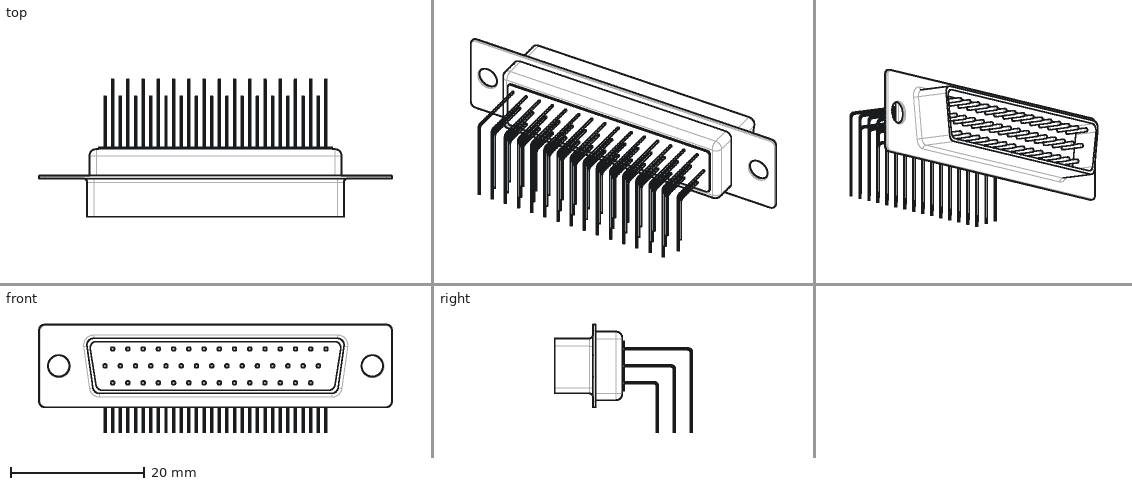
import cadquery as cq
import math


overall_depth = 20.7
overall_height = 16.25

flange_length = 53.1
flange_height = 12.5
flange_thickness = 0.5
flange_corner_radius = 0.9
flange_edge_radius = 0.135
mount_hole_diameter = 3.2
mount_hole_offset = 23.6

shell_side_angle = 8.0
shell_corner_radius = 1.0
shell_depth = 5.75
shell_top_width = 39.0
shell_height = 8.3
shell_foot_radius = 0.55
selection_margin = 0.005

cavity_side_angle = 9.0
cavity_top_width = 38.0
cavity_height = 7.35
cavity_corner_radius = 0.95
cavity_floor_y = -1.95

housing_back_y = 4.45
housing_width = 37.9
housing_height = 10.35
housing_edge_radius = 1.0
housing_corner_radius = 1.05

plate_thickness = 0.25
plate_width = 35.15
plate_height = 7.45
plate_corner_radius = 0.55

middle_row_span = 32.05
contact_diameter = 0.6
contact_tip_y = -5.7
contact_tip_radius = 0.2
tail_diameter = 0.3
tail_bend_radius = 0.55
tail_bottom_z = flange_height / 2 - overall_height
contacts_per_row = 15
contact_pitch = middle_row_span / (contacts_per_row - 1)
row_pitch = 2.55
last_tail_y = overall_depth - shell_depth - tail_diameter / 2

middle_row_start = -7.25
outer_row_start = middle_row_start + 0.5
contact_rows = [
    (1, outer_row_start, contacts_per_row),
    (0, middle_row_start, contacts_per_row),
    (-1, outer_row_start, contacts_per_row - 1),
]


def d_prism(top_width, height, radius, start_y, end_y, angle):
    """Prism along Y with a rounded trapezoid section, wider at the top."""
    half_top = top_width / 2
    half_bottom = half_top - height * math.tan(math.radians(angle))
    section = [
        (-half_top, height / 2),
        (half_top, height / 2),
        (half_bottom, -height / 2),
        (-half_bottom, -height / 2),
    ]
    return (
        cq.Workplane("XZ", origin=(0, start_y, 0))
        .polyline(section)
        .close()
        .extrude(start_y - end_y)
        .edges("|Y")
        .fillet(radius)
    )


def flange():
    """Thin plate with rounded corners and two mounting holes."""
    return (
        cq.Workplane("XZ")
        .rect(flange_length, flange_height)
        .extrude(-flange_thickness)
        .edges("|Y")
        .fillet(flange_corner_radius)
        .faces("<Y")
        .workplane(origin=(0, 0, 0))
        .pushPoints([(-mount_hole_offset, 0), (mount_hole_offset, 0)])
        .hole(mount_hole_diameter)
        .faces("<Y or >Y")
        .edges()
        .fillet(flange_edge_radius)
    )


def flanged_shell():
    """Shell standing on the flange, blended into it by a concave fillet."""
    shell = d_prism(
        shell_top_width, shell_height, shell_corner_radius, 0, -shell_depth, shell_side_angle
    )
    half_width = shell_top_width / 2
    half_height = shell_height / 2 + selection_margin
    joint = cq.selectors.BoxSelector(
        (-half_width, -selection_margin, -half_height),
        (half_width, selection_margin, half_height),
    )
    return flange().union(shell).edges(joint).fillet(shell_foot_radius)


def shell_cavity():
    """Open space inside the shell, with sides sloping slightly more than the outside."""
    return d_prism(
        cavity_top_width,
        cavity_height,
        cavity_corner_radius,
        -shell_depth,
        cavity_floor_y,
        cavity_side_angle,
    )


def rounded_block(width, height, radius, end_y):
    """Rectangular block with rounded corners, from Y = 0 back to end_y."""
    return cq.Workplane("XZ").rect(width, height).extrude(-end_y).edges("|Y").fillet(radius)


def housing():
    """Rear body with a rounded back edge and a flat plate on its back."""
    block = rounded_block(housing_width, housing_height, housing_corner_radius, housing_back_y)
    block = block.faces(">Y").edges().fillet(housing_edge_radius)
    plate_back_y = housing_back_y + plate_thickness
    return block.union(rounded_block(plate_width, plate_height, plate_corner_radius, plate_back_y))


def contact(x, z, tail_y):
    """Contact pin in front and a thinner tail that bends down behind."""
    pin = (
        cq.Workplane("XZ", origin=(x, 0, z))
        .circle(contact_diameter / 2)
        .extrude(-contact_tip_y)
        .faces("<Y")
        .edges()
        .fillet(contact_tip_radius)
    )
    bend_start_y = tail_y - tail_bend_radius
    bend_shift = tail_bend_radius * math.sqrt(0.5)
    path = (
        cq.Workplane("YZ", origin=(x, 0, 0))
        .moveTo(0, z)
        .lineTo(bend_start_y, z)
        .threePointArc(
            (bend_start_y + bend_shift, z - tail_bend_radius + bend_shift),
            (tail_y, z - tail_bend_radius),
        )
        .lineTo(tail_y, tail_bottom_z)
    )
    tail = cq.Workplane("XZ", origin=(x, 0, z)).circle(tail_diameter / 2).sweep(path)
    return [pin.val(), tail.val()]


def contacts():
    """All three rows of contacts; higher rows have their tails further back."""
    solids = []
    for step, first, count in contact_rows:
        tail_y = last_tail_y - (1 - step) * row_pitch
        for index in range(count):
            x = (first + index) * contact_pitch
            solids += contact(x, step * row_pitch, tail_y)
    return solids


body = flanged_shell().union(housing()).cut(shell_cavity())
result = cq.Workplane(body.val().fuse(*contacts()))